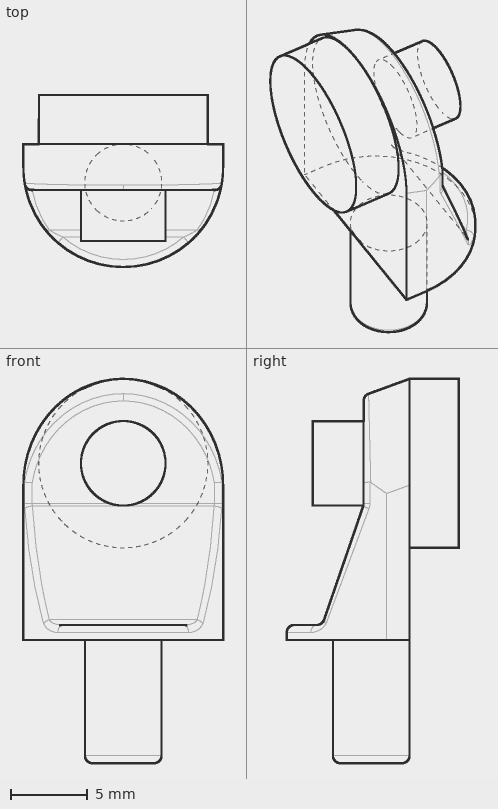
import cadquery as cq
import math

BODY_WIDTH = 13.0
BODY_HEIGHT = 17.0
BODY_DEPTH = 8.0
BODY_RADIUS = BODY_WIDTH / 2
FLANK_DEPTH = BODY_DEPTH - BODY_RADIUS

CROWN_TILT = 20.0

FACE_DEPTH = 3.0
FACE_BOTTOM = 8.8
SLOPE_ANGLE = 19.0
FOOT_THICKNESS = 1.0
FRONT_FILLET = 0.5
RIM_FILLET = 0.5

DISK_DIAMETER = 11.0
DISK_LENGTH = 3.2
STUD_DIAMETER = 5.5
STUD_REACH = 6.3
AXIS_HEIGHT = BODY_HEIGHT - DISK_DIAMETER / 2

PIN_DIAMETER = 5.0
PIN_LENGTH = 8.0
PIN_FILLET = 0.5

CLEARANCE = 5.0
EDGE_TOLERANCE = 0.01


def d_shaped_block():
    """Full-height block with straight flanks and a half-round front."""
    return (
        cq.Workplane("XY")
        .moveTo(-BODY_RADIUS, 0)
        .lineTo(BODY_RADIUS, 0)
        .lineTo(BODY_RADIUS, -FLANK_DEPTH)
        .threePointArc((0, -BODY_DEPTH), (-BODY_RADIUS, -FLANK_DEPTH))
        .close()
        .extrude(BODY_HEIGHT)
    )


def crown_envelope():
    """Tilted cylinder joined with everything below its axis."""
    tilt = math.radians(CROWN_TILT)
    axis_at_back = BODY_HEIGHT - BODY_RADIUS / math.cos(tilt)
    reach = BODY_DEPTH + CLEARANCE
    direction = cq.Vector(0, -math.cos(tilt), -math.sin(tilt))
    start = cq.Vector(0, 0, axis_at_back) - direction * CLEARANCE
    length = reach / math.cos(tilt) + CLEARANCE
    cylinder = cq.Workplane(cq.Solid.makeCylinder(BODY_RADIUS, length, start, direction))

    drop = math.tan(tilt)
    below_axis = (
        cq.Workplane("YZ")
        .moveTo(CLEARANCE, axis_at_back + CLEARANCE * drop)
        .lineTo(-reach, axis_at_back - reach * drop)
        .lineTo(-reach, -BODY_HEIGHT)
        .lineTo(CLEARANCE, -BODY_HEIGHT)
        .close()
        .extrude(BODY_RADIUS, both=True)
    )
    return cylinder.union(below_axis)


def front_cut():
    """Material in front of the upright face, the slope and the foot."""
    slope_foot = FACE_DEPTH + (FACE_BOTTOM - FOOT_THICKNESS) * math.tan(math.radians(SLOPE_ANGLE))
    front = BODY_DEPTH + CLEARANCE
    top = BODY_HEIGHT + CLEARANCE
    cut = (
        cq.Workplane("YZ")
        .moveTo(-FACE_DEPTH, top)
        .lineTo(-FACE_DEPTH, FACE_BOTTOM)
        .lineTo(-slope_foot, FOOT_THICKNESS)
        .lineTo(-front, FOOT_THICKNESS)
        .lineTo(-front, top)
        .close()
        .extrude(BODY_WIDTH, both=True)
    )
    bends = cq.selectors.BoxSelector(
        (-CLEARANCE, -slope_foot - FRONT_FILLET, FOOT_THICKNESS - FRONT_FILLET),
        (CLEARANCE, -FACE_DEPTH + FRONT_FILLET, FACE_BOTTOM + FRONT_FILLET),
    )
    return cut.edges("|X").edges(bends).fillet(FRONT_FILLET)


def make_body():
    """Block with its crown and stepped front, the front's outer rim rounded over.

    The rim is rounded on one half, which is then mirrored, so that it is an open chain of edges.
    """
    right_side = cq.Workplane("XY").box(
        BODY_WIDTH, 2 * BODY_DEPTH, BODY_HEIGHT, centered=(False, True, False)
    )
    half = d_shaped_block().intersect(crown_envelope()).cut(front_cut()).intersect(right_side)
    front_edges = cq.selectors.BoxSelector(
        (EDGE_TOLERANCE, -BODY_DEPTH, FOOT_THICKNESS / 2),
        (BODY_WIDTH, -FACE_DEPTH + EDGE_TOLERANCE, BODY_HEIGHT),
    )
    half = half.edges(front_edges).edges("not |X").fillet(RIM_FILLET)
    return half.union(half.mirror("YZ"))


def make_disk():
    """Round disk standing off the back face."""
    return cq.Workplane("XZ").center(0, AXIS_HEIGHT).circle(DISK_DIAMETER / 2).extrude(-DISK_LENGTH)


def make_stud():
    """Round stud through the upright face."""
    return cq.Workplane("XZ").center(0, AXIS_HEIGHT).circle(STUD_DIAMETER / 2).extrude(STUD_REACH)


def make_pin():
    """Vertical pin with a rounded end."""
    return (
        cq.Workplane("XY")
        .center(0, -PIN_DIAMETER / 2)
        .circle(PIN_DIAMETER / 2)
        .extrude(-PIN_LENGTH)
        .faces("<Z")
        .edges()
        .fillet(PIN_FILLET)
    )


result = make_body().union(make_disk()).union(make_stud()).union(make_pin())